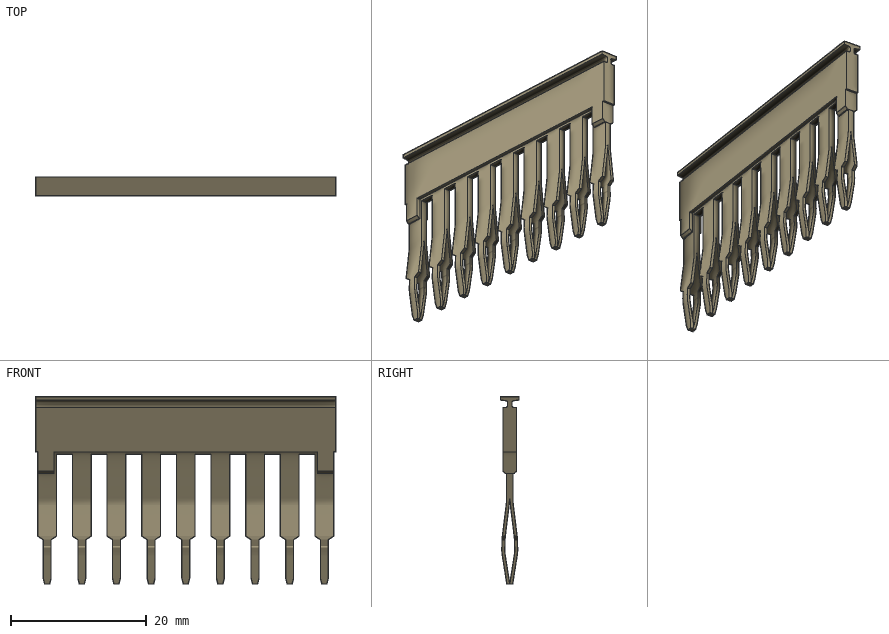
import cadquery as cq
import math


LENGTH = 44.2
TOTAL_HEIGHT = 27.62
LIP_WIDTH = 2.8
LIP_EDGE_HEIGHT = 0.55
LIP_DEPTH = 0.65
NECK_WIDTH = 0.65
NECK_FILLET = 0.25
EDGE_MARGIN = 0.05
SHOULDER_DEPTH = 1.6
BODY_WIDTH = 2.05
BODY_BOTTOM = 19.5
LEG_BOTTOM = 16.25
LEG_WIDTH = 2.4
LEG_CHAMFER = 0.4
LEG_SIDE_WALL = 0.25

CONTACT_COUNT = 9
CONTACT_SPAN = 40.8
COMB_THICKNESS = 0.97
STRIP_BOTTOM = 19.1
STRIP_HEIGHT = 4.4
SHANK_WIDTH = 2.8
SHANK_BOTTOM = 7.05
PRONG_WIDTH = 1.2
PRONG_TOP = 6.55
PRONG_TAPER_HEIGHT = 0.9
TIP_WIDTH = 0.75

SLIT_TOP_GAP = 0.05
SPREAD_BEND_TOP = 12.55
SPREAD_BEND_BOTTOM = 11.62
SPREAD_ANGLE = math.radians(7)
BULGE_STEP_TOP = 5.55
BULGE_STEP_BOTTOM = 5.35
BULGE_HALF_WIDTH = 1.15
PEAK_HALF_WIDTH = 1.2
CLOSE_BEND_BOTTOM = 4.15
CLOSE_ANGLE = math.radians(9)

PITCH = CONTACT_SPAN / (CONTACT_COUNT - 1)
COMB_LENGTH = CONTACT_SPAN + SHANK_WIDTH
LEAF_THICKNESS = (COMB_THICKNESS - SLIT_TOP_GAP) / 2


def mirrored_bar(half_profile, length):
    """Extrude a closed YZ outline lying on the +Y side along X and add its mirror image."""
    half = half_profile.close().extrude(length / 2, both=True)
    return half.union(half.mirror("XZ"))


def make_housing(comb):
    lip_bottom = TOTAL_HEIGHT - LIP_DEPTH
    shoulder = TOTAL_HEIGHT - SHOULDER_DEPTH
    neck = NECK_WIDTH / 2
    bar = mirrored_bar(
        cq.Workplane("YZ")
        .moveTo(0, TOTAL_HEIGHT)
        .lineTo(LIP_WIDTH / 2, TOTAL_HEIGHT)
        .lineTo(LIP_WIDTH / 2, TOTAL_HEIGHT - LIP_EDGE_HEIGHT)
        .lineTo(neck, lip_bottom)
        .lineTo(neck, shoulder)
        .lineTo(BODY_WIDTH / 2, shoulder)
        .lineTo(BODY_WIDTH / 2, BODY_BOTTOM)
        .lineTo(0, BODY_BOTTOM),
        LENGTH,
    )
    neck_edges = cq.selectors.BoxSelector(
        (-LENGTH, -BODY_WIDTH / 4, shoulder - EDGE_MARGIN),
        (LENGTH, BODY_WIDTH / 4, lip_bottom + EDGE_MARGIN),
    )
    bar = bar.edges("|X").edges(neck_edges).fillet(NECK_FILLET)

    leg_x = (COMB_LENGTH - LEG_WIDTH) / 2
    leg_height = BODY_BOTTOM - LEG_BOTTOM
    for x in (-leg_x, leg_x):
        leg = (
            cq.Workplane("XY", origin=(x, 0, LEG_BOTTOM))
            .rect(LEG_WIDTH, BODY_WIDTH)
            .extrude(leg_height)
            .faces("<Z").edges("|X").chamfer(LEG_CHAMFER)
        )
        bar = bar.union(leg)

    return bar.cut(comb)


def bend(outline, y, z, drop, angle):
    """Add an arc from (y, z) that starts straight down and turns sideways by angle over drop."""
    radius = drop / math.sin(angle)
    middle = (y + radius * (1 - math.cos(angle / 2)), z - radius * math.sin(angle / 2))
    end = (y + radius * (1 - math.cos(angle)), z - drop)
    return outline.threePointArc(middle, end), end


def leaf_region(offset):
    """YZ outline between the centre plane and a leaf surface set inward by offset."""
    root = COMB_THICKNESS / 2 - offset
    bulge = BULGE_HALF_WIDTH - offset
    peak = PEAK_HALF_WIDTH - offset

    outline = cq.Workplane("YZ").moveTo(0, SPREAD_BEND_TOP).lineTo(root, SPREAD_BEND_TOP)
    spread_drop = SPREAD_BEND_TOP - SPREAD_BEND_BOTTOM
    outline, (y, z) = bend(outline, root, SPREAD_BEND_TOP, spread_drop, SPREAD_ANGLE)
    shank_end = y + (z - SHANK_BOTTOM) * math.tan(SPREAD_ANGLE)
    outline = (
        outline.lineTo(shank_end, SHANK_BOTTOM)
        .lineTo(bulge, PRONG_TOP)
        .lineTo(bulge, BULGE_STEP_TOP)
        .lineTo(peak, BULGE_STEP_BOTTOM)
    )
    close_drop = BULGE_STEP_BOTTOM - CLOSE_BEND_BOTTOM
    outline, (y, z) = bend(outline, peak, BULGE_STEP_BOTTOM, close_drop, -CLOSE_ANGLE)
    return outline.lineTo(0, z - y / math.tan(CLOSE_ANGLE))


def make_contact_front():
    """XZ outline of one contact: wide shank, narrow prong and tapered tip."""
    shank = SHANK_WIDTH / 2
    prong = PRONG_WIDTH / 2
    tip = TIP_WIDTH / 2
    return (
        cq.Workplane("XZ")
        .polyline([
            (-shank, STRIP_BOTTOM),
            (shank, STRIP_BOTTOM),
            (shank, SHANK_BOTTOM),
            (prong, PRONG_TOP),
            (prong, PRONG_TAPER_HEIGHT),
            (tip, 0),
            (-tip, 0),
            (-prong, PRONG_TAPER_HEIGHT),
            (-prong, PRONG_TOP),
            (-shank, SHANK_BOTTOM),
        ])
        .close()
        .extrude(LIP_WIDTH / 2, both=True)
    )


def make_contact():
    """One contact; the front outline trims the leaves to width and cuts them off at the tip."""
    straight_height = STRIP_BOTTOM - SPREAD_BEND_TOP
    straight = (
        cq.Workplane("XY", origin=(0, 0, SPREAD_BEND_TOP))
        .rect(SHANK_WIDTH, COMB_THICKNESS)
        .extrude(straight_height)
    )
    leaves = mirrored_bar(leaf_region(0), SHANK_WIDTH)
    slit = mirrored_bar(leaf_region(LEAF_THICKNESS), SHANK_WIDTH)
    return straight.union(leaves).cut(slit).intersect(make_contact_front())


def make_comb():
    strip_length = COMB_LENGTH - 2 * LEG_SIDE_WALL
    comb = (
        cq.Workplane("XY", origin=(0, 0, STRIP_BOTTOM))
        .rect(strip_length, COMB_THICKNESS)
        .extrude(STRIP_HEIGHT)
    )
    contact = make_contact()
    for index in range(CONTACT_COUNT):
        x = index * PITCH - CONTACT_SPAN / 2
        comb = comb.union(contact.translate((x, 0, 0)))

    wall_x = (COMB_LENGTH - LEG_SIDE_WALL) / 2
    side_steps = (
        cq.Workplane("XY", origin=(0, 0, LEG_BOTTOM))
        .pushPoints([(-wall_x, 0), (wall_x, 0)])
        .rect(LEG_SIDE_WALL, COMB_THICKNESS)
        .extrude(STRIP_BOTTOM - LEG_BOTTOM)
    )
    return comb.cut(side_steps)


comb = make_comb()
housing = make_housing(comb)

result = cq.Compound.makeCompound([housing.solids().val(), comb.solids().val()])